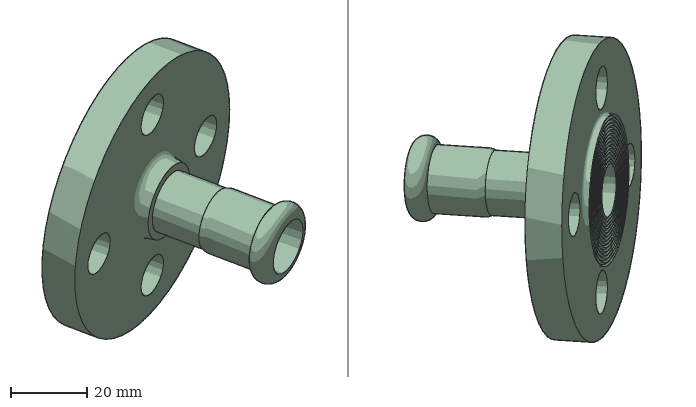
import cadquery as cq
import math

TOTAL_LENGTH = 53.2

FLANGE_RADIUS = 80 / 2
FLANGE_THICKNESS = 10.0
BOLT_HOLE_DIAMETER = 11.5
BOLT_CIRCLE_RADIUS = 27.5
BOLT_COUNT = 4

FACE_RADIUS = 40 / 2
FACE_HEIGHT = 2.0
FACE_FILLET = FACE_HEIGHT / 2
GROOVE_COUNT = 13
GROOVE_DEPTH = 0.5

HUB_LENGTH = 5.0
HUB_END_RADIUS = 10.7
HUB_TAPER = math.radians(10)
HUB_FILLET = 2.8

TUBE_RADIUS = 17.2 / 2
SOCKET_RADIUS = 18.2 / 2
TUBE_BORE_RADIUS = 14.2 / 2
SOCKET_BORE_RADIUS = 15.3 / 2
SHOULDER_START = 31.2
SHOULDER_LENGTH = 1.9

BEAD_RADIUS = 22.7 / 2
BEAD_SECTION_RADIUS = 3.3

FLANGE_BACK = FACE_HEIGHT + FLANGE_THICKNESS
HUB_END = FLANGE_BACK + HUB_LENGTH
SHOULDER_END = SHOULDER_START + SHOULDER_LENGTH
BEAD_CENTER_X = TOTAL_LENGTH - BEAD_SECTION_RADIUS
BEAD_CENTER_RADIUS = BEAD_RADIUS - BEAD_SECTION_RADIUS


def revolve(profile):
    """Turn a closed (x, radius) profile about the X axis."""
    return profile.close().revolve(360, (0, 0, 0), (1, 0, 0))


def arc_through(profile, center, radius, mid_angle, end_angle):
    """Continue a profile along a circular arc given by its centre and angles."""
    points = [
        (center[0] + radius * math.cos(angle), center[1] + radius * math.sin(angle))
        for angle in (mid_angle, end_angle)
    ]
    return profile.threePointArc(*points)


def make_flange():
    """Flange disc, raised face with its root fillet, and the filleted hub."""
    profile = cq.Workplane("XY").lineTo(0, FACE_RADIUS).lineTo(FACE_HEIGHT - FACE_FILLET, FACE_RADIUS)
    face_fillet_center = (FACE_HEIGHT - FACE_FILLET, FACE_RADIUS + FACE_FILLET)
    profile = arc_through(profile, face_fillet_center, FACE_FILLET, -math.pi / 4, 0)

    fillet_end_x = FLANGE_BACK + HUB_FILLET * (1 - math.sin(HUB_TAPER))
    fillet_end_radius = HUB_END_RADIUS + (HUB_END - fillet_end_x) * math.tan(HUB_TAPER)
    hub_root_radius = fillet_end_radius + HUB_FILLET * math.cos(HUB_TAPER)
    fillet_sweep = math.pi / 2 - HUB_TAPER
    profile = (
        profile.lineTo(FACE_HEIGHT, FLANGE_RADIUS)
        .lineTo(FLANGE_BACK, FLANGE_RADIUS)
        .lineTo(FLANGE_BACK, hub_root_radius)
    )
    profile = arc_through(
        profile,
        (FLANGE_BACK + HUB_FILLET, hub_root_radius),
        HUB_FILLET,
        math.pi + fillet_sweep / 2,
        math.pi + fillet_sweep,
    )
    return revolve(profile.lineTo(HUB_END, HUB_END_RADIUS).lineTo(HUB_END, 0))


def make_tube():
    """Tube widening over a rounded shoulder into the socket."""
    step = SOCKET_RADIUS - TUBE_RADIUS
    shoulder_radius = (SHOULDER_LENGTH**2 + step**2) / (2 * step)
    shoulder_center = (SHOULDER_END, SOCKET_RADIUS - shoulder_radius)
    sweep = math.asin(SHOULDER_LENGTH / shoulder_radius)
    profile = (
        cq.Workplane("XY")
        .moveTo(FLANGE_BACK, 0)
        .lineTo(FLANGE_BACK, TUBE_RADIUS)
        .lineTo(SHOULDER_START, TUBE_RADIUS)
    )
    profile = arc_through(
        profile, shoulder_center, shoulder_radius, math.pi / 2 + sweep / 2, math.pi / 2
    )
    return revolve(profile.lineTo(BEAD_CENTER_X, SOCKET_RADIUS).lineTo(BEAD_CENTER_X, 0))


def make_bead():
    """Round-edged ring closing the end of the socket."""
    bead_start = BEAD_CENTER_X - BEAD_SECTION_RADIUS
    return revolve(
        cq.Workplane("XY")
        .moveTo(bead_start, 0)
        .lineTo(bead_start, BEAD_CENTER_RADIUS)
        .threePointArc((BEAD_CENTER_X, BEAD_RADIUS), (TOTAL_LENGTH, BEAD_CENTER_RADIUS))
        .lineTo(TOTAL_LENGTH, 0)
    )


def make_bore():
    """Through bore, widening inside the socket at a constant wall thickness."""
    return revolve(
        cq.Workplane("XY")
        .lineTo(0, TUBE_BORE_RADIUS)
        .lineTo(SHOULDER_START, TUBE_BORE_RADIUS)
        .lineTo(SHOULDER_END, SOCKET_BORE_RADIUS)
        .lineTo(TOTAL_LENGTH, SOCKET_BORE_RADIUS)
        .lineTo(TOTAL_LENGTH, 0)
    )


def make_face_grooves():
    """Adjoining V grooves filling the sealing face from its rim to the bore."""
    pitch = (FACE_RADIUS - TUBE_BORE_RADIUS) / GROOVE_COUNT
    profile = cq.Workplane("XY").moveTo(0, FACE_RADIUS)
    for index in range(GROOVE_COUNT):
        crest_radius = FACE_RADIUS - index * pitch
        profile = profile.lineTo(GROOVE_DEPTH, crest_radius - pitch / 2)
        profile = profile.lineTo(0, crest_radius - pitch)
    profile = profile.lineTo(-GROOVE_DEPTH, TUBE_BORE_RADIUS).lineTo(-GROOVE_DEPTH, FACE_RADIUS)
    return revolve(profile)


def make_bolt_holes():
    """Bolt holes evenly spaced on the bolt circle, on the Y and Z axes."""
    return (
        cq.Workplane("YZ")
        .polarArray(BOLT_CIRCLE_RADIUS, 0, 360, BOLT_COUNT)
        .circle(BOLT_HOLE_DIAMETER / 2)
        .extrude(FLANGE_BACK)
    )


body = make_flange().union(make_tube()).union(make_bead())
result = body.cut(make_bore()).cut(make_face_grooves()).cut(make_bolt_holes())